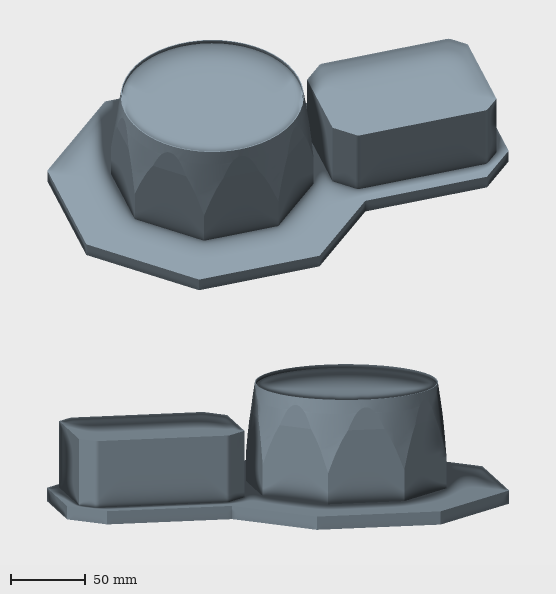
import cadquery as cq
import math

total_length = 299.5
plate_width = 204.0
plate_thickness = 9.0
neck_width = 109.0
neck_chamfer = 22.5
neck_end_y = total_length - plate_width / 2

block_width = 82.0
block_height = 45.2
block_near_y = 75.5
block_far_y = 189.3
block_near_chamfer = 13.5
block_far_chamfer = 10.0
block_edge_radius = 4.0

total_height = 78.8
knob_flats = 125.5
knob_height = total_height - plate_thickness
cone_start = 21.3
shoulder_height = 49.7
lean_angle = 3.4
band_height = 60.5
band_radius = 62.47
rim_radius = 61.0
recess_radius = 60.5
recess_depth = 2.5

OCTAGON_SIDES = 8


def corner_radius(flats):
    """Circumscribed radius of a regular octagon measured across its flats."""
    return flats / 2 / math.cos(math.pi / OCTAGON_SIDES)


def octagon(flats, z):
    """Octagon wire on the plane at height z, with flats facing the X and Y axes."""
    turn = 180 / OCTAGON_SIDES
    plane = cq.Workplane("XY", origin=(0, 0, z)).transformed(rotate=(0, 0, turn))
    return plane.polygon(OCTAGON_SIDES, 2 * corner_radius(flats))


def make_plate():
    body = octagon(plate_width, 0).extrude(plate_thickness)
    neck = (
        cq.Workplane("XY")
        .center(0, neck_end_y / 2)
        .rect(neck_width, neck_end_y)
        .extrude(plate_thickness)
        .edges("|Z and >Y")
        .chamfer(neck_chamfer)
    )
    return body.union(neck)


def make_block():
    length = block_far_y - block_near_y
    block = (
        cq.Workplane("XY", origin=(0, block_near_y + length / 2, plate_thickness))
        .rect(block_width, length)
        .extrude(block_height)
    )
    block = block.edges("|Z and >Y").chamfer(block_far_chamfer)
    block = block.edges("|Z and <Y").chamfer(block_near_chamfer)
    return block.edges("|Z and (<X or >X)").fillet(block_edge_radius)


def make_knob():
    shoulder_z = plate_thickness + shoulder_height
    lower = octagon(knob_flats, plate_thickness).extrude(shoulder_height)
    upper = octagon(knob_flats, shoulder_z).extrude(knob_height - shoulder_height, taper=lean_angle)
    prism = lower.union(upper)

    start_radius = corner_radius(knob_flats)
    envelope = (
        cq.Workplane("XZ", origin=(0, 0, plate_thickness))
        .moveTo(0, 0)
        .lineTo(start_radius, 0)
        .lineTo(start_radius, cone_start)
        .lineTo(band_radius, band_height)
        .lineTo(rim_radius, knob_height)
        .lineTo(0, knob_height)
        .close()
        .revolve(360, (0, 0, 0), (0, 1, 0))
    )

    recess = (
        cq.Workplane("XY", origin=(0, 0, total_height - recess_depth))
        .circle(recess_radius)
        .extrude(recess_depth)
    )
    return prism.intersect(envelope).cut(recess)


result = make_plate().union(make_block()).union(make_knob())